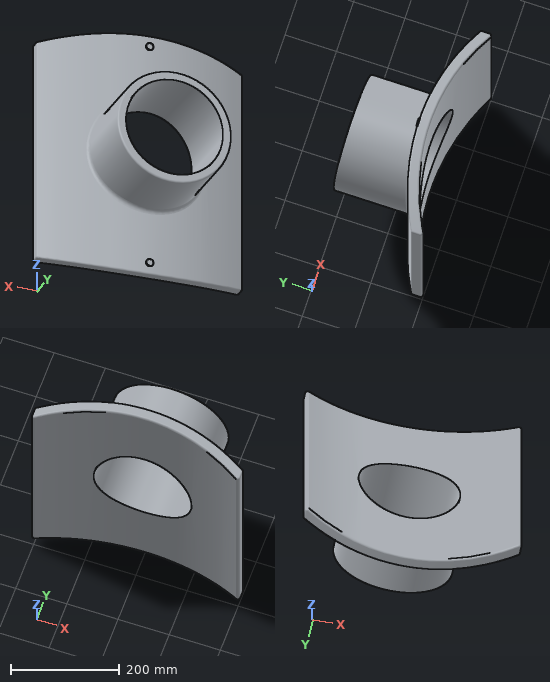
import cadquery as cq
import math

plate_width = 407.0
plate_height = 486.21
side_height = 439.5
inner_radius = 400.0
plate_thickness = 22.0
side_corner_cut = 6.0
plate_edge_radius = 4.0

pipe_outer_diameter = 225.0
pipe_inner_diameter = 191.25
pipe_projection = 129.81
pipe_root_depth = 19.0
pipe_rim_radius = 4.0
weld_radius = 8.0

pin_diameter = 14.0
pin_height = 3.0
pin_root_depth = 10.0
pin_offset = 220.0

clearance = 1.0

outer_radius = inner_radius + plate_thickness
pipe_end_y = outer_radius + pipe_projection
half_width = plate_width / 2
half_height = plate_height / 2
half_side_height = side_height / 2
side_inner_y = math.sqrt(inner_radius**2 - half_width**2)
side_outer_y = math.sqrt(outer_radius**2 - half_width**2)


def cylinder_along_y(diameter, start_y, end_y, center_z=0.0):
    base = cq.Workplane("XZ", origin=(0, start_y, center_z))
    return base.circle(diameter / 2).extrude(start_y - end_y)


def edges_within(half_x, y_range, half_z):
    return cq.selectors.BoxSelector(
        (-half_x, y_range[0], -half_z),
        (half_x, y_range[1], half_z),
        boundingbox=True,
    )


def make_bent_sheet():
    sheet = (
        cq.Workplane("XY", origin=(0, 0, -half_height))
        .moveTo(-half_width, side_inner_y)
        .threePointArc((0, inner_radius), (half_width, side_inner_y))
        .lineTo(half_width, side_outer_y)
        .threePointArc((0, outer_radius), (-half_width, side_outer_y))
        .close()
        .extrude(plate_height)
    )
    inner_corners = edges_within(
        half_width + clearance,
        (side_inner_y - clearance, side_inner_y + clearance),
        half_height + clearance,
    )
    return sheet.edges(inner_corners).chamfer(side_corner_cut)


def make_plate():
    outline = (
        cq.Workplane("XZ")
        .moveTo(-half_width, -half_side_height)
        .threePointArc((0, -half_height), (half_width, -half_side_height))
        .lineTo(half_width, half_side_height)
        .threePointArc((0, half_height), (-half_width, half_side_height))
        .close()
        .extrude(-(outer_radius + clearance))
    )
    return make_bent_sheet().intersect(outline).edges().fillet(plate_edge_radius)


def add_pipe(plate):
    pipe = cylinder_along_y(pipe_outer_diameter, outer_radius - pipe_root_depth, pipe_end_y)
    pipe = pipe.faces(">Y").edges().fillet(pipe_rim_radius)
    pipe_reach = pipe_outer_diameter / 2 + clearance
    weld_edges = edges_within(pipe_reach, (side_inner_y, outer_radius + clearance), pipe_reach)
    joined = plate.union(pipe).edges(weld_edges).fillet(weld_radius)
    bore = cylinder_along_y(pipe_inner_diameter, 0.0, pipe_end_y + clearance)
    return joined.cut(bore)


def add_pins(body):
    root_y = outer_radius - pin_root_depth
    tip_y = outer_radius + pin_height
    for center_z in (-pin_offset, pin_offset):
        body = body.union(cylinder_along_y(pin_diameter, root_y, tip_y, center_z))
    return body


result = add_pins(add_pipe(make_plate()))